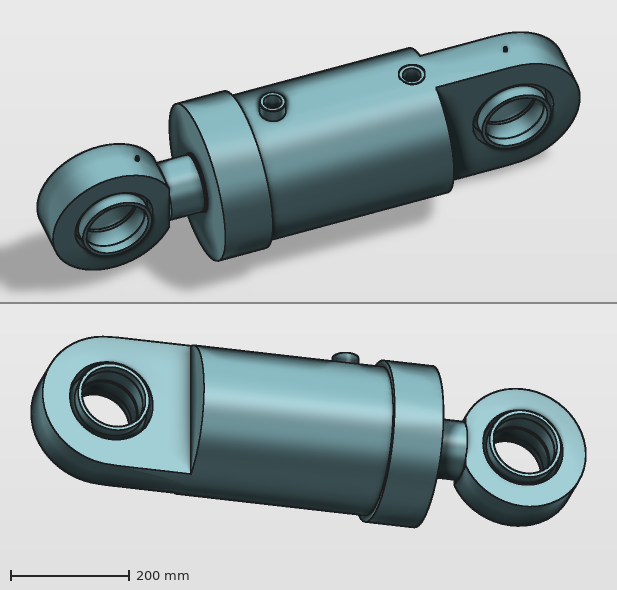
import cadquery as cq
import math

total_length = 950.0
rear_end_y = total_length / 2
front_end_y = -total_length / 2

barrel_diameter = 254.0
flange_diameter = 275.0
barrel_rear_y = 216.0
flange_rear_y = -115.0
flange_front_y = -200.0
collar_diameter = 103.5
collar_chamfer = 2.0
collar_length = 5.0

eye_thickness = 78.0
rear_eye_radius = 240.0 / 2
rear_eye_y = rear_end_y - rear_eye_radius
rear_eye_bore = 145.0
front_eye_radius = 220.0 / 2
front_eye_y = front_end_y + front_eye_radius
front_eye_bore = 140.0

rod_diameter = 100.0
rod_front_y = -265.0
rod_inner_y = flange_rear_y

ring_width = 110.0
ring_diameter = 124.0
ball_diameter = 140.0
ring_bore = 110.0
ring_relief_diameter = 111.0
ring_land_width = 76.0
oil_groove_width = 6.0

port_diameter = 45.0
port_hole_diameter = 30.0
port_hole_depth = 28.5
drill_point_angle = 118
front_port_y = -65.0
front_port_top_z = 150.0
front_port_chamfer = 1.0
rear_port_y = 186.0
rear_port_seat_z = 123.0

nipple_stem_diameter = 4.0
nipple_collar_diameter = 6.0
nipple_head_diameter = 5.0
nipple_tip_diameter = 3.0
nipple_root_depth = 5.0
nipple_stem_height = 2.0
nipple_collar_height = 3.0
nipple_head_height = 3.0
nipple_tip_height = 2.0
front_nipple_y = front_eye_y + 56.0


def rod_along_y(diameter, y_start, y_end):
    """Solid cylinder on the Y axis between two Y positions."""
    plane = cq.Workplane("XZ", origin=(0, y_start, 0))
    return plane.circle(diameter / 2).extrude(y_start - y_end)


def rod_along_x(diameter, length, y):
    """Solid cylinder parallel to X, centred on X = 0."""
    plane = cq.Workplane("YZ", origin=(-length / 2, y, 0))
    return plane.circle(diameter / 2).extrude(length)


def rod_along_z(diameter, y, z_start, z_end):
    """Solid vertical cylinder between two heights."""
    return cq.Workplane("XY", origin=(0, y, z_start)).circle(diameter / 2).extrude(z_end - z_start)


def drilled_hole(y, top_z):
    """Port hole going down from top_z and ending in a drill point."""
    radius = port_hole_diameter / 2
    point_depth = radius / math.tan(math.radians(drill_point_angle / 2))
    floor_z = top_z - port_hole_depth
    half_section = [(0, top_z), (radius, top_z), (radius, floor_z), (0, floor_z - point_depth)]
    hole = cq.Workplane("XZ").polyline(half_section).close().revolve(360, (0, 0, 0), (0, 1, 0))
    return hole.translate((0, y, 0))


def rear_lug():
    """Rear eye plate, rounded at the end, whose top and bottom widen towards the barrel."""
    barrel_radius = barrel_diameter / 2
    plate = (
        cq.Workplane("YZ", origin=(-eye_thickness / 2, 0, 0))
        .moveTo(barrel_rear_y, -barrel_radius)
        .lineTo(rear_eye_y, -rear_eye_radius)
        .threePointArc((rear_end_y, 0), (rear_eye_y, rear_eye_radius))
        .lineTo(barrel_rear_y, barrel_radius)
        .close()
        .extrude(eye_thickness)
    )
    return plate.intersect(rod_along_y(barrel_diameter, rear_end_y, barrel_rear_y))


def nipple(y, surface_z):
    """Grease nipple standing upright on an eye: rooted stem, wider collar, head and small tip."""
    steps = [
        (nipple_stem_diameter, nipple_stem_height),
        (nipple_collar_diameter, nipple_collar_height),
        (nipple_head_diameter, nipple_head_height),
        (nipple_tip_diameter, nipple_tip_height),
    ]
    body = rod_along_z(nipple_stem_diameter, y, surface_z - nipple_root_depth, surface_z)
    step_z = surface_z
    for diameter, height in steps:
        body = body.union(rod_along_z(diameter, y, step_z, step_z + height))
        step_z += height
    return body


def nipple_hole(y, surface_z):
    """Hole that holds the root of a grease nipple."""
    return rod_along_z(nipple_stem_diameter, y, surface_z - nipple_root_depth, surface_z + nipple_stem_height)


def bearing_ring(y):
    """Inner bearing ring: a ball in the middle, a straight sleeve to both sides and a grooved bore."""
    sleeve_radius = ring_diameter / 2
    ball_radius = ball_diameter / 2
    ball_half_width = math.sqrt(ball_radius**2 - sleeve_radius**2)
    land_radius = ring_bore / 2
    relief_radius = ring_relief_diameter / 2
    end_x = ring_width / 2
    land_x = ring_land_width / 2
    groove_x = oil_groove_width / 2
    half_section = (
        cq.Workplane("XY")
        .moveTo(-end_x, relief_radius)
        .lineTo(-end_x, sleeve_radius)
        .lineTo(-ball_half_width, sleeve_radius)
        .threePointArc((0, ball_radius), (ball_half_width, sleeve_radius))
        .lineTo(end_x, sleeve_radius)
        .lineTo(end_x, relief_radius)
        .lineTo(land_x, relief_radius)
        .lineTo(land_x, land_radius)
        .lineTo(groove_x, land_radius)
        .lineTo(groove_x, relief_radius)
        .lineTo(-groove_x, relief_radius)
        .lineTo(-groove_x, land_radius)
        .lineTo(-land_x, land_radius)
        .lineTo(-land_x, relief_radius)
        .close()
    )
    return half_section.revolve(360, (0, 0, 0), (1, 0, 0)).translate((0, y, 0))


def make_barrel():
    """Barrel with flange, rod collar, rear eye and both oil ports."""
    flange = rod_along_y(flange_diameter, flange_rear_y, flange_front_y)
    collar = rod_along_y(collar_diameter, flange_front_y, flange_front_y - collar_length)
    collar = collar.faces("<Y").chamfer(collar_chamfer)
    front_boss = rod_along_z(port_diameter, front_port_y, 0, front_port_top_z)
    front_boss = front_boss.faces(">Z").chamfer(front_port_chamfer)
    body = rod_along_y(barrel_diameter, barrel_rear_y, flange_rear_y)
    body = body.union(rear_lug()).union(flange).union(collar).union(front_boss)

    body = body.cut(rod_along_z(port_diameter, rear_port_y, rear_port_seat_z, barrel_diameter))
    body = body.cut(drilled_hole(front_port_y, front_port_top_z))
    body = body.cut(drilled_hole(rear_port_y, rear_port_seat_z))
    body = body.cut(rod_along_y(rod_diameter, rod_inner_y, flange_front_y - collar_length))
    body = body.cut(rod_along_x(rear_eye_bore, eye_thickness, rear_eye_y))
    return body.cut(nipple_hole(rear_eye_y, rear_eye_radius))


def make_rod():
    """Piston rod with the front eye, whose bore fits round the ball of its bearing ring."""
    eye = rod_along_x(2 * front_eye_radius, eye_thickness, front_eye_y)
    eye = eye.intersect(rod_along_y(total_length, rod_front_y, front_end_y))
    rod = rod_along_y(rod_diameter, rod_inner_y, rod_front_y).union(eye)
    rod = rod.cut(rod_along_x(front_eye_bore, eye_thickness, front_eye_y))
    return rod.cut(nipple_hole(front_nipple_y, front_nipple_z))


front_nipple_z = math.sqrt(front_eye_radius**2 - (front_nipple_y - front_eye_y) ** 2)

barrel = make_barrel()
rod = make_rod()
rings = [bearing_ring(y) for y in (rear_eye_y, front_eye_y)]
nipple_places = [(rear_eye_y, rear_eye_radius), (front_nipple_y, front_nipple_z)]
nipples = [nipple(y, z) for y, z in nipple_places]

result = cq.Compound.makeCompound(
    [barrel.val(), rod.val(), *[ring.val() for ring in rings], *[item.val() for item in nipples]]
)